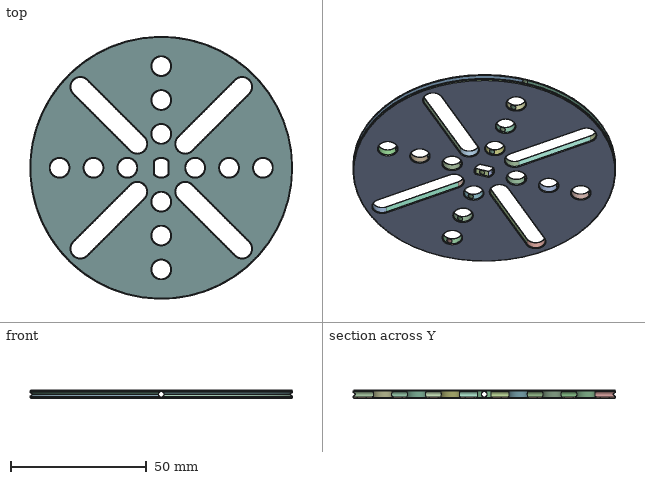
import cadquery as cq
import math

disc_diameter = 96.88
thickness = 3.12
edge_chamfer = 0.3

groove_depth = 1.0
groove_width = 1.5

hole_diameter = 7.0
hole_pitch = 12.5
holes_per_arm = 3

slot_width = 7.0
slot_inner_radius = 12.5
slot_outer_radius = 42.19

flat_to_flat = 5.0

cross_bore_diameter = 2.0
bore_seam_turn = 45

arm_count = 4
arm_angle = 360 / arm_count
disc_radius = disc_diameter / 2
mid_height = thickness / 2


def make_disc():
    return cq.Workplane("XY").circle(disc_radius).extrude(thickness)


def cut_axis_holes(body):
    for step in range(1, holes_per_arm + 1):
        holes = (
            cq.Workplane("XY")
            .polarArray(step * hole_pitch, 0, 360, arm_count)
            .circle(hole_diameter / 2)
            .extrude(thickness)
        )
        body = body.cut(holes)
    return body


def cut_diagonal_slots(body):
    slot_length = slot_outer_radius - slot_inner_radius + slot_width
    slot_middle = (slot_inner_radius + slot_outer_radius) / 2
    slots = (
        cq.Workplane("XY")
        .polarArray(slot_middle, arm_angle / 2, 360, arm_count)
        .slot2D(slot_length, slot_width)
        .extrude(thickness)
    )
    return body.cut(slots)


def cut_centre_hole(body):
    """Round bore whose sides are flattened parallel to Y."""
    radius = hole_diameter / 2
    half_width = flat_to_flat / 2
    half_flat = math.sqrt(radius**2 - half_width**2)
    bore = (
        cq.Workplane("XY")
        .moveTo(half_width, -half_flat)
        .lineTo(half_width, half_flat)
        .threePointArc((0, radius), (-half_width, half_flat))
        .lineTo(-half_width, -half_flat)
        .threePointArc((0, -radius), (half_width, -half_flat))
        .close()
        .extrude(thickness)
    )
    return body.cut(bore)


def chamfer_flat_faces(body):
    """Break the rim and every opening on both flat faces."""
    return body.faces("<Z or >Z").edges().chamfer(edge_chamfer)


def cut_rim_groove(body):
    """V groove, revolved about Z from a triangle whose sides run past the rim."""
    overshoot = 1.0
    bottom_radius = disc_radius - groove_depth
    mouth_radius = disc_radius + overshoot
    half_mouth = groove_width / 2 * (groove_depth + overshoot) / groove_depth
    groove = (
        cq.Workplane("XZ")
        .moveTo(bottom_radius, mid_height)
        .lineTo(mouth_radius, mid_height - half_mouth)
        .lineTo(mouth_radius, mid_height + half_mouth)
        .close()
        .revolve(360, (0, 0, 0), (0, 1, 0))
    )
    return body.cut(groove)


def cut_cross_bores(body):
    for plane in ["XZ", "YZ"]:
        bore = (
            cq.Workplane(plane)
            .center(0, mid_height)
            .transformed(rotate=(0, 0, bore_seam_turn))
            .circle(cross_bore_diameter / 2)
            .extrude(disc_diameter, both=True)
        )
        body = body.cut(bore)
    return body


result = make_disc()
result = cut_axis_holes(result)
result = cut_diagonal_slots(result)
result = cut_centre_hole(result)
result = chamfer_flat_faces(result)
result = cut_rim_groove(result)
result = cut_cross_bores(result)